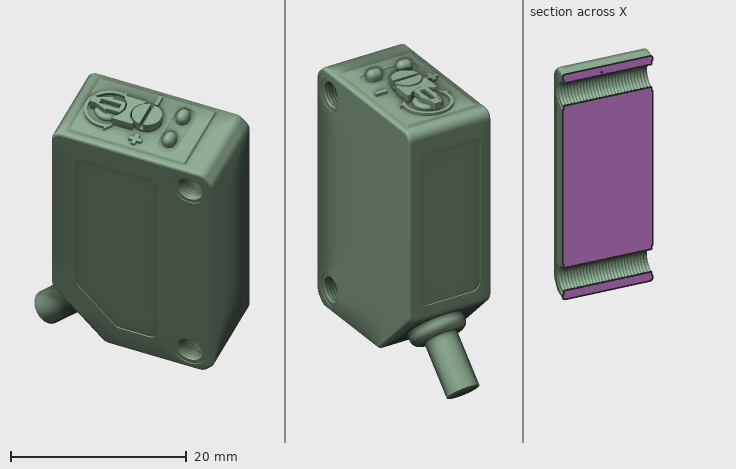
import cadquery as cq
import math

OVERALL_HEIGHT = 36.55
BODY_LENGTH = 20.0
BODY_WIDTH = 11.0
BODY_HEIGHT = 31.0
CABLE_CORNER_CUT = 6.58
RIGHT_CORNER_CUT = 1.25
CORNER_RADIUS = 1.17
RIM_RADIUS = 0.35

CABLE_RADIUS = 2.0
CABLE_LENGTH = 8.5
COLLAR_RADIUS = 3.45
COLLAR_HEIGHT = 1.7
COLLAR_ROUNDING = 1.0

HOLE_SPACING = 25.4
HOLE_INSET_X = 2.95
HOLE_BOTTOM_Z = 2.8
HOLE_DIAMETER = 2.92
SPOTFACE_DIAMETER = 4.1
SPOTFACE_DEPTH = 0.1
THREAD_COUNT = 28
THREAD_DEPTH = 0.1

LABEL_MARGIN = 3.0
LABEL_DEPTH = 0.15
LABEL_CORNER_RADIUS = 1.0
FRONT_LABEL_LENGTH = 10.0
FRONT_LABEL_CUT = 5.1
SIDE_LABEL_WIDTH = 8.0
SIDE_LABEL_BOTTOM = 8.1

PLATE_START_X = 1.65
PLATE_LENGTH = 14.55
PLATE_WIDTH = 9.35
PLATE_HEIGHT = 0.22
PLATE_BEVEL = 0.2
MARKING_HEIGHT = 0.35

KNOB_X = 4.95
KNOB_RADIUS = 1.75
KNOB_BASE_HEIGHT = 0.55
KNOB_ROUNDING = 0.45
POINTER_TIP = 2.25
POINTER_NECK = 1.55
POINTER_TIP_HALF_WIDTH = 0.48
POINTER_HEAD_HALF_WIDTH = 1.15
POINTER_BODY_HALF_WIDTH = 0.88
POINTER_SLOT_START = -1.2
POINTER_SLOT_END = 1.28
POINTER_SLOT_WIDTH = 0.75
POINTER_SLOT_DEPTH = 0.55
POINTER_SLOT_SLOPE = 0.15

ARROW_OUTER_RADIUS = 2.95
ARROW_INNER_RADIUS = 2.6
ARROW_BARB_X = 0.55
ARROW_BARB_Y = 3.35
ARROW_TIP_X = 1.3

SCREW_X = 9.5
SCREW_RADIUS = 1.7
SCREW_SLOT_WIDTH = 0.48
BLOCK_START_X = 6.05
BLOCK_END_X = 8.5
BLOCK_WIDTH = 3.95
BLOCK_DROP = 0.1
BLOCK_CLEARANCE = 0.2

SIGN_OFFSET_Y = 3.4
SIGN_LENGTH = 1.57
SIGN_THICKNESS = 0.48

LAMP_X = 13.15
LAMP_OFFSET_Y = 2.0
LAMP_RADIUS = 0.73
LAMP_STRAIGHT = 0.48
LAMP_BASE_HEIGHT = 0.35
LAMP_RECESS_LENGTH = 7.53
LAMP_RECESS_WIDTH = 2.38
LAMP_RECESS_DEPTH = 0.07

CABLE_END = CABLE_CORNER_CUT / 2 - CABLE_LENGTH / math.sqrt(2)
CABLE_DROP = CABLE_RADIUS / math.sqrt(2) - CABLE_END
PLATE_TOP = BODY_HEIGHT + PLATE_HEIGHT
CONTROL_HEIGHT = OVERALL_HEIGHT - CABLE_DROP - PLATE_TOP
FRONT_Y = -BODY_WIDTH / 2


def on_plate(x=0.0, y=0.0):
    """Workplane on top of the control plate, centred at the given place."""
    return cq.Workplane("XY", origin=(x, y, PLATE_TOP))


def make_housing():
    outline = [
        (CABLE_CORNER_CUT, 0),
        (BODY_LENGTH - RIGHT_CORNER_CUT, 0),
        (BODY_LENGTH, RIGHT_CORNER_CUT),
        (BODY_LENGTH, BODY_HEIGHT - RIGHT_CORNER_CUT),
        (BODY_LENGTH - RIGHT_CORNER_CUT, BODY_HEIGHT),
        (0, BODY_HEIGHT),
        (0, CABLE_CORNER_CUT),
    ]
    block = cq.Workplane("XZ").polyline(outline).close().extrude(BODY_WIDTH / 2, both=True)
    return block.edges("|Y").fillet(CORNER_RADIUS).faces("<Y or >Y").edges().fillet(RIM_RADIUS)


def make_cable_outlet():
    middle = CABLE_CORNER_CUT / 2
    outlet_plane = cq.Plane(origin=(middle, 0, middle), xDir=(0, 1, 0), normal=(-1, 0, -1))
    collar = cq.Workplane(outlet_plane).circle(COLLAR_RADIUS).extrude(COLLAR_HEIGHT)
    collar = collar.faces(cq.selectors.DirectionMinMaxSelector(cq.Vector(-1, 0, -1))).edges()
    collar = collar.fillet(COLLAR_ROUNDING)
    cable = cq.Workplane(outlet_plane).circle(CABLE_RADIUS).extrude(CABLE_LENGTH)
    return collar.union(cable)


def make_mounting_hole(z):
    """Through hole with ring-shaped thread grooves and a spot face at each end."""
    x = BODY_LENGTH - HOLE_INSET_X
    hole_radius = HOLE_DIAMETER / 2
    groove_radius = hole_radius + THREAD_DEPTH
    spotface_radius = SPOTFACE_DIAMETER / 2
    thread_end = BODY_WIDTH / 2 - SPOTFACE_DEPTH
    thread_pitch = 2 * thread_end / THREAD_COUNT

    profile = [(0, FRONT_Y), (spotface_radius, FRONT_Y), (spotface_radius, -thread_end)]
    for index in range(THREAD_COUNT):
        groove_y = -thread_end + index * thread_pitch
        profile.append((groove_radius, groove_y))
        profile.append((hole_radius, groove_y + thread_pitch / 2))
    profile += [
        (groove_radius, thread_end),
        (spotface_radius, thread_end),
        (spotface_radius, -FRONT_Y),
        (0, -FRONT_Y),
    ]
    hole = cq.Workplane("XY").polyline(profile).close().revolve(360, (0, 0), (0, 1))
    return hole.translate((x, 0, z))


def make_front_label():
    left = LABEL_MARGIN
    right = left + FRONT_LABEL_LENGTH
    bottom = LABEL_MARGIN
    top = BODY_HEIGHT - LABEL_MARGIN
    outline = [
        (left, top),
        (left, bottom + FRONT_LABEL_CUT),
        (left + FRONT_LABEL_CUT, bottom),
        (right, bottom),
        (right, top),
    ]
    label = cq.Workplane("XZ", origin=(0, FRONT_Y, 0)).polyline(outline).close().extrude(-LABEL_DEPTH)
    return label.edges("|Y").fillet(LABEL_CORNER_RADIUS)


def make_side_label():
    height = BODY_HEIGHT - LABEL_MARGIN - SIDE_LABEL_BOTTOM
    label = cq.Workplane("XY").box(LABEL_DEPTH, SIDE_LABEL_WIDTH, height, centered=(False, True, False))
    return label.edges("|X").fillet(LABEL_CORNER_RADIUS).translate((0, 0, SIDE_LABEL_BOTTOM))


def make_plate():
    """Control plate with bevelled sides."""
    taper = math.degrees(math.atan(PLATE_BEVEL / PLATE_HEIGHT))
    middle_x = PLATE_START_X + PLATE_LENGTH / 2
    base = cq.Workplane("XY", origin=(middle_x, 0, BODY_HEIGHT))
    return base.rect(PLATE_LENGTH, PLATE_WIDTH).extrude(PLATE_HEIGHT, taper=taper)


def make_knob():
    base = on_plate(KNOB_X).circle(KNOB_RADIUS).extrude(KNOB_BASE_HEIGHT)
    base = base.faces(">Z").edges().fillet(KNOB_ROUNDING)

    upper_edge = [
        (-POINTER_TIP, POINTER_TIP_HALF_WIDTH),
        (-POINTER_NECK, POINTER_TIP_HALF_WIDTH),
        (0, POINTER_HEAD_HALF_WIDTH),
        (0, POINTER_BODY_HALF_WIDTH),
        (KNOB_RADIUS, POINTER_BODY_HALF_WIDTH),
    ]
    lower_edge = [(x, -y) for x, y in reversed(upper_edge)]
    pointer = on_plate(KNOB_X).polyline(upper_edge + lower_edge).close().extrude(CONTROL_HEIGHT)
    limit = on_plate(KNOB_X).circle(KNOB_RADIUS).extrude(CONTROL_HEIGHT)
    nose = on_plate(KNOB_X - POINTER_TIP).rect(2 * POINTER_TIP, BODY_WIDTH).extrude(CONTROL_HEIGHT)
    pointer = pointer.intersect(limit.union(nose))

    slot_profile = [
        (POINTER_SLOT_START, 0),
        (POINTER_SLOT_END, 0),
        (POINTER_SLOT_END - POINTER_SLOT_SLOPE, -POINTER_SLOT_DEPTH),
        (POINTER_SLOT_START + POINTER_SLOT_SLOPE, -POINTER_SLOT_DEPTH),
    ]
    slot = cq.Workplane("XZ", origin=(KNOB_X, 0, PLATE_TOP + CONTROL_HEIGHT)).polyline(slot_profile).close()
    return base.union(pointer).cut(slot.extrude(POINTER_SLOT_WIDTH / 2, both=True))


def make_arrow():
    shaft_y = math.sqrt(ARROW_OUTER_RADIUS**2 - ARROW_BARB_X**2)
    tip_y = math.sqrt(ARROW_INNER_RADIUS**2 - ARROW_TIP_X**2)
    return (
        on_plate(KNOB_X)
        .moveTo(ARROW_BARB_X, shaft_y)
        .threePointArc((-ARROW_OUTER_RADIUS, 0), (ARROW_BARB_X, -shaft_y))
        .lineTo(ARROW_BARB_X, -ARROW_BARB_Y)
        .lineTo(ARROW_TIP_X, -tip_y)
        .threePointArc((-ARROW_INNER_RADIUS, 0), (ARROW_TIP_X, tip_y))
        .lineTo(ARROW_BARB_X, ARROW_BARB_Y)
        .close()
        .extrude(MARKING_HEIGHT)
    )


def make_screw():
    screw = on_plate(SCREW_X).circle(SCREW_RADIUS).extrude(CONTROL_HEIGHT)
    slot = on_plate(SCREW_X).workplane(offset=MARKING_HEIGHT).rect(SCREW_SLOT_WIDTH, 2 * SCREW_RADIUS)
    return screw.cut(slot.extrude(CONTROL_HEIGHT))


def make_block():
    """Block with hollow ends that clear the knob and the screw."""
    height = CONTROL_HEIGHT - BLOCK_DROP
    middle_x = (BLOCK_START_X + BLOCK_END_X) / 2
    block = on_plate(middle_x).rect(BLOCK_END_X - BLOCK_START_X, BLOCK_WIDTH).extrude(height)
    for x, radius in [(KNOB_X, KNOB_RADIUS), (SCREW_X, SCREW_RADIUS)]:
        block = block.cut(on_plate(x).circle(radius + BLOCK_CLEARANCE).extrude(height))
    return block


def make_signs():
    minus = on_plate(SCREW_X, SIGN_OFFSET_Y).rect(SIGN_THICKNESS, SIGN_LENGTH).extrude(MARKING_HEIGHT)
    plus_bar = on_plate(SCREW_X, -SIGN_OFFSET_Y).rect(SIGN_THICKNESS, SIGN_LENGTH).extrude(MARKING_HEIGHT)
    cross_bar = on_plate(SCREW_X, -SIGN_OFFSET_Y).rect(SIGN_LENGTH, SIGN_THICKNESS).extrude(MARKING_HEIGHT)
    return minus.union(plus_bar).union(cross_bar)


def make_lamp(y):
    """Oval post with a domed top, standing in the lamp recess."""
    dome_z = PLATE_TOP + LAMP_BASE_HEIGHT
    post_height = LAMP_BASE_HEIGHT + LAMP_RECESS_DEPTH
    slot_length = LAMP_STRAIGHT + 2 * LAMP_RADIUS
    post = on_plate(LAMP_X, y).workplane(offset=-LAMP_RECESS_DEPTH)
    lamp = post.slot2D(slot_length, 2 * LAMP_RADIUS, 90).extrude(post_height)
    ridge = cq.Workplane("XZ", origin=(LAMP_X, y + LAMP_STRAIGHT / 2, dome_z)).circle(LAMP_RADIUS)
    lamp = lamp.union(ridge.extrude(LAMP_STRAIGHT))
    for end in (-1, 1):
        ball = cq.Workplane("XY").sphere(LAMP_RADIUS)
        lamp = lamp.union(ball.translate((LAMP_X, y + end * LAMP_STRAIGHT / 2, dome_z)))
    return lamp


def make_lamp_recess():
    oval = on_plate(LAMP_X).slot2D(LAMP_RECESS_LENGTH, LAMP_RECESS_WIDTH, 90)
    return oval.extrude(-LAMP_RECESS_DEPTH)


housing = make_housing().union(make_cable_outlet())
for hole_z in (HOLE_BOTTOM_Z, HOLE_BOTTOM_Z + HOLE_SPACING):
    housing = housing.cut(make_mounting_hole(hole_z))
housing = housing.cut(make_front_label()).cut(make_side_label())

housing = housing.union(make_plate()).cut(make_lamp_recess())
for control in (make_knob(), make_arrow(), make_screw(), make_block(), make_signs()):
    housing = housing.union(control)
for lamp_y in (-LAMP_OFFSET_Y, LAMP_OFFSET_Y):
    housing = housing.union(make_lamp(lamp_y))

result = housing